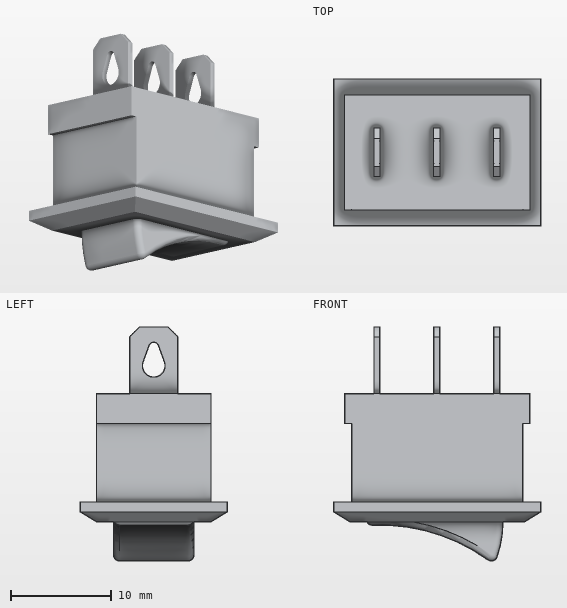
import cadquery as cq
import math


bezel_length = 20.7
bezel_width = 14.7
rim_height = 1.0
bevel_height = 1.0
bevel_inset = 1.64
bezel_height = rim_height + bevel_height

body_length = 17.12
body_width = 11.48
head_length = 18.5
head_bottom = 9.82
head_top = 12.82

terminal_count = 3
terminal_pitch = 5.99
terminal_row_shift = -0.05
terminal_thickness = 0.6
terminal_width = 4.85
terminal_height = 6.67
terminal_chamfer = 1.0

hole_large_radius = 1.12
hole_small_radius = 0.5
hole_large_height = 2.78
hole_small_height = 4.63

rocker_width = 8.05
rocker_round = 0.6
rocker_root = bevel_height
rocker_right = 6.57
rocker_side_radius = 10.53
rocker_tip_depth = 4.25
rocker_middle = (-0.16, -1.17)
rocker_left_corner = (-7.06, -0.37)


def make_bezel():
    rim = (
        cq.Workplane("XY")
        .workplane(offset=bevel_height)
        .rect(bezel_length, bezel_width)
        .extrude(rim_height)
    )
    bevel = (
        cq.Workplane("XY")
        .rect(bezel_length - 2 * bevel_inset, bezel_width - 2 * bevel_inset)
        .workplane(offset=bevel_height)
        .rect(bezel_length, bezel_width)
        .loft(ruled=True)
    )
    return rim.union(bevel)


def make_housing():
    body = (
        cq.Workplane("XY")
        .workplane(offset=bezel_height)
        .rect(body_length, body_width)
        .extrude(head_top - bezel_height)
    )
    head = (
        cq.Workplane("XY")
        .workplane(offset=head_bottom)
        .rect(head_length, body_width)
        .extrude(head_top - head_bottom)
    )
    return body.union(head)


def make_teardrop(plane):
    """Two circles joined by their outer tangent lines."""
    radius_drop = hole_large_radius - hole_small_radius
    tangent_angle = math.asin(radius_drop / (hole_small_height - hole_large_height))
    across = math.cos(tangent_angle)
    along = math.sin(tangent_angle)
    large_y = hole_large_radius * across
    large_z = hole_large_height + hole_large_radius * along
    small_y = hole_small_radius * across
    small_z = hole_small_height + hole_small_radius * along
    return (
        plane.moveTo(large_y, large_z)
        .lineTo(small_y, small_z)
        .threePointArc((0, hole_small_height + hole_small_radius), (-small_y, small_z))
        .lineTo(-large_y, large_z)
        .threePointArc((0, hole_large_height - hole_large_radius), (large_y, large_z))
        .close()
        .extrude(terminal_thickness)
    )


def make_terminal(x_center):
    plane = cq.Workplane("YZ", origin=(x_center - terminal_thickness / 2, 0, head_top))
    half_width = terminal_width / 2
    shoulder_height = terminal_height - terminal_chamfer
    blade = (
        plane.moveTo(-half_width, 0)
        .lineTo(half_width, 0)
        .lineTo(half_width, shoulder_height)
        .lineTo(half_width - terminal_chamfer, terminal_height)
        .lineTo(-half_width + terminal_chamfer, terminal_height)
        .lineTo(-half_width, shoulder_height)
        .close()
        .extrude(terminal_thickness)
    )
    return blade.cut(make_teardrop(plane))


def rocker_side_point(depth):
    """Point on the bulged +X end, whose arc is centred at Z = 0."""
    bulge = rocker_side_radius - math.sqrt(rocker_side_radius**2 - depth**2)
    return (rocker_right - bulge, -depth)


def make_rocker():
    left_x = rocker_left_corner[0]
    return (
        cq.Workplane("XZ")
        .moveTo(left_x, rocker_root)
        .lineTo(*rocker_left_corner)
        .threePointArc(rocker_middle, rocker_side_point(rocker_tip_depth))
        .threePointArc(rocker_side_point(rocker_tip_depth / 2), rocker_side_point(0))
        .lineTo(rocker_right, rocker_root)
        .close()
        .extrude(rocker_width / 2, both=True)
        .faces("not >Z")
        .edges("not >Z")
        .fillet(rocker_round)
    )


result = make_bezel().union(make_housing()).union(make_rocker())
for index in range(terminal_count):
    terminal_x = terminal_row_shift + (index - (terminal_count - 1) / 2) * terminal_pitch
    result = result.union(make_terminal(terminal_x))